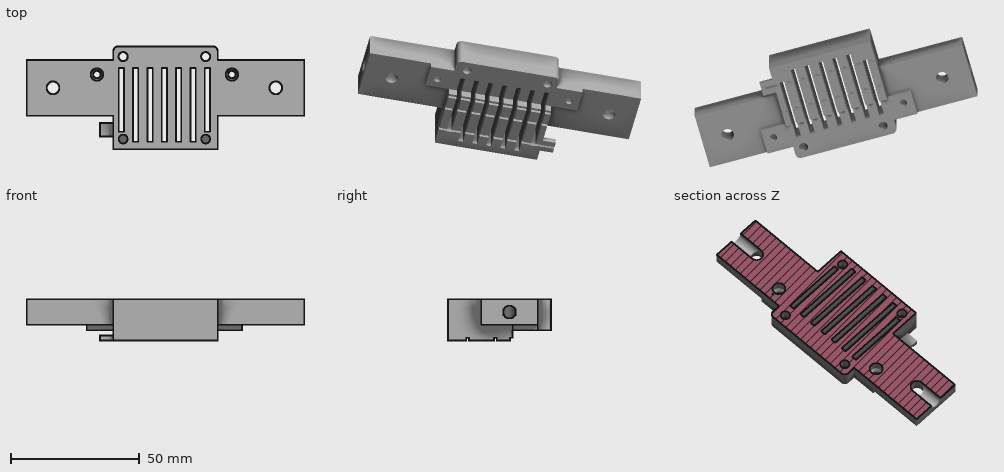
import cadquery as cq

overlap = 1.1

rail_length = 107.7
rail_width = 21.8
rail_thickness = 10.0
rail_center_y = 3.9
rail_back_y = rail_center_y + rail_width / 2

housing_length = 40.6
housing_width = 40.0
housing_height = 16.0
housing_back_y = housing_width / 2
housing_corner_radius = 1.9
flange_thickness = 12.1
deep_back_y = 5.1

lug_span = 60.3

pattern_center_x = -0.4

slot_count = 7
slot_width = 1.9
slot_row_length = 35.3
slot_pitch = (slot_row_length - slot_width) / (slot_count - 1)
slot_back_y = 11.5
slot_front_y = -17.0
outer_slot_front_y = -13.1

corner_hole_spacing = 32.0
corner_hole_diameter = 3.5
corner_hole_depth = 10.8

mount_hole_spacing = 86.4
mount_hole_diameter = 4.8
end_bore_diameter = 5.0

lug_hole_spacing = 52.4
lug_hole_y = 9.0
lug_bore_diameter = 4.8
lug_bore_depth = 8.6
lug_pilot_diameter = 2.8

tab_center_y = -12.4
groove_width = 1.0
groove_depth = 1.1
middle_groove_y = -1.6
groove_centers_y = (deep_back_y - groove_width / 2, middle_groove_y, tab_center_y)
tab_length = 5.2
tab_width = 5.3
tab_thickness = 2.0


def block(x_range, y_range, z_range):
    """Axis-aligned box between pairs of limits."""
    (x0, x1), (y0, y1), (z0, z1) = x_range, y_range, z_range
    return cq.Workplane("XY").box(x1 - x0, y1 - y0, z1 - z0, centered=False).translate((x0, y0, z0))


def pair(spacing):
    """X places of two features mirrored about the pattern plane."""
    return (pattern_center_x - spacing / 2, pattern_center_x + spacing / 2)


def drill(x, y, diameter, depth):
    """Vertical cylinder going down from the top face."""
    return cq.Workplane("XY").center(x, y).circle(diameter / 2).extrude(-depth)


def make_body():
    half_rail = rail_length / 2
    half_housing = housing_length / 2
    rail_y = (rail_back_y - rail_width, rail_back_y)
    housing_x = (-half_housing, half_housing)

    flange = block(housing_x, (deep_back_y - overlap, housing_back_y), (-flange_thickness, 0))
    flange = flange.edges("|Z and >Y").fillet(housing_corner_radius)
    deep = block(housing_x, (-housing_back_y, deep_back_y), (-housing_height, 0))
    rail = block((-half_rail, half_rail), rail_y, (-rail_thickness, 0))
    lugs = block(pair(lug_span), (deep_back_y, rail_back_y), (-flange_thickness, -rail_thickness + overlap))
    tab = block(
        (-half_housing - tab_length, -half_housing + overlap),
        (tab_center_y - tab_width / 2, tab_center_y + tab_width / 2),
        (-housing_height, -housing_height + tab_thickness),
    )
    return deep.union(flange).union(rail).union(lugs).union(tab)


def cut_slots(body):
    middle = (slot_count - 1) / 2
    for i in range(slot_count):
        x = pattern_center_x + (i - middle) * slot_pitch
        is_outer = i in (0, slot_count - 1)
        front_y = outer_slot_front_y if is_outer else slot_front_y
        slot_x = (x - slot_width / 2, x + slot_width / 2)
        body = body.cut(block(slot_x, (front_y, slot_back_y), (-housing_height, 0)))
    return body


def cut_corner_holes(body):
    y = corner_hole_spacing / 2
    for x in pair(corner_hole_spacing):
        body = body.cut(drill(x, y, corner_hole_diameter, housing_height))
        body = body.cut(drill(x, -y, corner_hole_diameter, corner_hole_depth))
    return body


def cut_mount_holes(body):
    left_x, right_x = pair(mount_hole_spacing)
    half_rail = rail_length / 2
    for hole_x, end_x in ((left_x, -half_rail), (right_x, half_rail)):
        body = body.cut(drill(hole_x, rail_center_y, mount_hole_diameter, rail_thickness))
        end_face = cq.Workplane("YZ", origin=(end_x, rail_center_y, -rail_thickness / 2))
        body = body.cut(end_face.circle(end_bore_diameter / 2).extrude(hole_x - end_x))
    return body


def cut_lug_holes(body):
    bore_radius = lug_bore_diameter / 2
    pilot_radius = lug_pilot_diameter / 2
    cone_bottom = -lug_bore_depth - (bore_radius - pilot_radius)
    profile = [
        (0, 0),
        (bore_radius, 0),
        (bore_radius, -lug_bore_depth),
        (pilot_radius, cone_bottom),
        (pilot_radius, -flange_thickness),
        (0, -flange_thickness),
    ]
    cutter = cq.Workplane("XZ").polyline(profile).close().revolve(360, (0, 0, 0), (0, 1, 0))
    for x in pair(lug_hole_spacing):
        body = body.cut(cutter.translate((x, lug_hole_y, 0)))
    return body


def cut_grooves(body):
    for y in groove_centers_y:
        groove_y = (y - groove_width / 2, y + groove_width / 2)
        groove_z = (-housing_height, -housing_height + groove_depth)
        body = body.cut(block((-rail_length / 2, rail_length / 2), groove_y, groove_z))
    return body


result = make_body()
result = cut_slots(result)
result = cut_corner_holes(result)
result = cut_mount_holes(result)
result = cut_lug_holes(result)
result = cut_grooves(result)